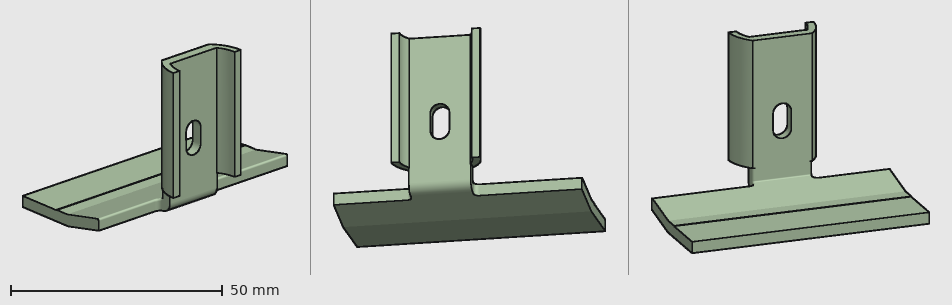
import cadquery as cq
import math

plate_length = 60.0
flat_thickness = 2.9
bent_thickness = 3.0
step_x = 12.0
bend_x = 15.85
plate_end_x = 26.95
slope = math.radians(11.5)

channel_axis_x = 35.75
channel_center_y = -3.5
channel_outer_radius = 10.75
flange_thickness = 2.0
web_width = 15.0
web_thickness = 2.9
channel_bottom_z = 8.95
part_height = 40.9
web_front_x = channel_axis_x - math.sqrt(channel_outer_radius**2 - (web_width / 2) ** 2)
web_back_x = web_front_x + web_thickness

slot_width = 4.6
slot_height = 8.7
slot_center_z = 19.9

inner_bend_radius = 0.35
outer_bend_radius = 2.5
notch_radius = 1.15
edge_radius = 0.5


def top_z(x):
    """Height of the sloped upper face."""
    return bent_thickness + (x - bend_x) * math.tan(slope)


lower_bend_x = bend_x + bent_thickness * math.tan(slope / 2)


def bottom_z(x):
    """Height of the sloped lower face."""
    return (x - lower_bend_x) * math.tan(slope)


def make_bent_strip():
    """Side profile of plate and neck, extruded over the full plate length."""
    strip = (
        cq.Workplane("XZ")
        .polyline([
            (0, 0),
            (lower_bend_x, 0),
            (web_back_x, bottom_z(web_back_x)),
            (web_back_x, channel_bottom_z),
            (web_front_x, channel_bottom_z),
            (web_front_x, top_z(web_front_x)),
            (bend_x, bent_thickness),
            (step_x, bent_thickness),
            (step_x, flat_thickness),
            (0, flat_thickness),
        ])
        .close()
        .extrude(plate_length / 2, both=True)
    )
    inner_bend = cq.selectors.NearestToPointSelector((web_front_x, 0, top_z(web_front_x)))
    outer_bend = cq.selectors.NearestToPointSelector((web_back_x, 0, bottom_z(web_back_x)))
    strip = strip.edges(inner_bend).fillet(inner_bend_radius)
    return strip.edges(outer_bend).fillet(outer_bend_radius)


def make_plan_outline():
    """Plate and narrow neck seen in plan, with rounded inside corners."""
    neck_low_y = channel_center_y - web_width / 2
    neck_high_y = channel_center_y + web_width / 2
    margin = notch_radius / 2
    plate = cq.Workplane("XY").box(
        plate_end_x, plate_length, part_height, centered=(False, True, False)
    )
    neck = cq.Workplane("XY", origin=(0, channel_center_y, 0)).box(
        web_back_x, web_width, part_height, centered=(False, True, False)
    )
    corners = cq.selectors.BoxSelector(
        (plate_end_x - margin, neck_low_y - margin, 0),
        (plate_end_x + margin, neck_high_y + margin, part_height),
    )
    return plate.union(neck).edges("|Z").edges(corners).fillet(notch_radius)


def make_plate_and_neck():
    """Bent strip trimmed to its plan outline, with its upper rim rounded."""
    body = make_bent_strip().intersect(make_plan_outline())
    for side in (-1, 1):
        neck_side_y = channel_center_y + side * web_width / 2
        plate_side_y = side * plate_length / 2
        rim_point = (plate_end_x, (neck_side_y + plate_side_y) / 2, top_z(plate_end_x))
        body = body.edges(cq.selectors.NearestToPointSelector(rim_point)).fillet(edge_radius)
    return body


def tube_segment(radius, from_x):
    """Part of an upright cylinder about the channel axis, between from_x and the axis."""
    height = part_height - channel_bottom_z
    depth = channel_axis_x - from_x
    base = cq.Workplane("XY", origin=(channel_axis_x, channel_center_y, channel_bottom_z))
    limit = base.center(-depth / 2, 0).rect(depth, 2 * radius).extrude(height)
    return base.circle(radius).extrude(height).intersect(limit)


def make_channel():
    """Arc flanges joined by the flat web, pierced by the slot."""
    outer = tube_segment(channel_outer_radius, web_front_x)
    hollow = tube_segment(channel_outer_radius - flange_thickness, web_back_x)
    slot = (
        cq.Workplane("YZ", origin=(web_front_x, channel_center_y, slot_center_z))
        .slot2D(slot_height, slot_width, 90)
        .extrude(web_thickness)
    )
    return outer.cut(hollow).cut(slot)


result = make_plate_and_neck().union(make_channel())